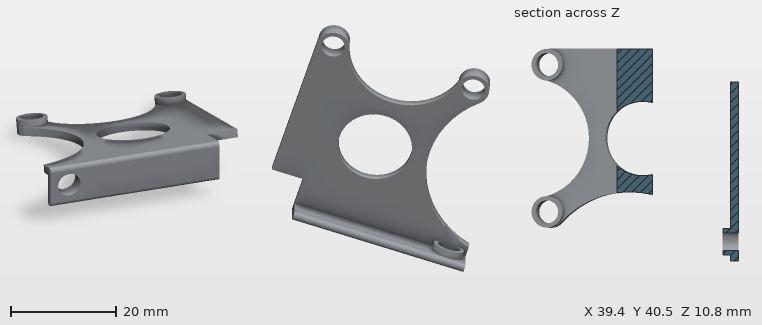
import cadquery as cq
import math

OVERALL_X = 39.37
OVERALL_Y = 40.48

SLOPE = 13.57
PLATE_THICKNESS = 1.6
PLATE_Y_MAX = 17.1
PLATE_Y_MIN = PLATE_Y_MAX - OVERALL_Y
NOTCH_U = 29.5
NOTCH_Y = 10.8

LUG_DIAMETER = 6.0
LUG_HEIGHT = 3.0
LUG_HOLE_DIAMETER = 4.4
LUG_RADIUS = LUG_DIAMETER / 2
LUG_PITCH = 28.0
LUG_Y = LUG_PITCH / 2

CORNER_U = 0.14
CORNER_DROP = 0.04
CORNER_Y = -LUG_Y - CORNER_DROP
CORNER_RADIUS = LUG_RADIUS

WINDOW_DIAMETER = 14.06
WINDOW_U = 18.15

END_ARC_U = -3.55
END_ARC_RADIUS = math.hypot(END_ARC_U, LUG_Y) - LUG_RADIUS
SIDE_ARC_U = 15.69
SIDE_ARC_Y = -28.3
SIDE_ARC_RADIUS = math.hypot(SIDE_ARC_U - CORNER_U, SIDE_ARC_Y - CORNER_Y) - CORNER_RADIUS

FLANGE_THICKNESS = 1.6
FLANGE_HEIGHT = 8.0
FLANGE_ROUND = FLANGE_THICKNESS / 2

BOSS_DIAMETER = 6.0
BOSS_HOLE_DIAMETER = 4.5
BOSS_REACH = 3.0
BOSS_Y = -19.62
BOSS_DROP = 3.79

SIN = math.sin(math.radians(SLOPE))
COS = math.cos(math.radians(SLOPE))
TAN = SIN / COS

LUG_X_MIN = -LUG_RADIUS * COS - LUG_HEIGHT * SIN
FLANGE_X = LUG_X_MIN + OVERALL_X
FLANGE_INNER_X = FLANGE_X - FLANGE_THICKNESS


def plate_top_z(x):
    """Height of the plate's upper surface at a given x."""
    return x * TAN + PLATE_THICKNESS / COS


ROUND_X = FLANGE_X - FLANGE_ROUND
ROUND_Z = plate_top_z(ROUND_X) - FLANGE_ROUND / COS
FLANGE_TOP_Z = ROUND_Z + FLANGE_ROUND
FLANGE_BOTTOM_Z = FLANGE_TOP_Z - FLANGE_HEIGHT
BOSS_Z = FLANGE_TOP_Z - BOSS_DROP

PLATE_END_U = ROUND_X * COS + ROUND_Z * SIN


def toward(start, end, distance):
    """Point at a given distance from start on the line to end."""
    scale = distance / math.dist(start, end)
    return (
        start[0] + (end[0] - start[0]) * scale,
        start[1] + (end[1] - start[1]) * scale,
    )


def tilt(body):
    """Turn a body from the plate's own frame into its sloping position."""
    return body.rotate((0, 0, 0), (0, 1, 0), -SLOPE)


def make_plate():
    upper_lug = (0, LUG_Y)
    lower_lug = (0, -LUG_Y)
    corner = (CORNER_U, CORNER_Y)
    end_center = (END_ARC_U, 0)
    side_center = (SIDE_ARC_U, SIDE_ARC_Y)
    side_arc_end_u = SIDE_ARC_U + math.sqrt(SIDE_ARC_RADIUS**2 - (PLATE_Y_MIN - SIDE_ARC_Y) ** 2)
    outline = (
        cq.Workplane("XY")
        .moveTo(0, PLATE_Y_MAX)
        .lineTo(NOTCH_U, PLATE_Y_MAX)
        .lineTo(NOTCH_U, NOTCH_Y)
        .lineTo(PLATE_END_U, NOTCH_Y)
        .lineTo(PLATE_END_U, PLATE_Y_MIN)
        .lineTo(side_arc_end_u, PLATE_Y_MIN)
        .threePointArc(
            (SIDE_ARC_U, SIDE_ARC_Y + SIDE_ARC_RADIUS),
            toward(side_center, corner, SIDE_ARC_RADIUS),
        )
        .lineTo(*corner)
        .lineTo(*lower_lug)
        .lineTo(*toward(end_center, lower_lug, END_ARC_RADIUS))
        .threePointArc(
            (END_ARC_U + END_ARC_RADIUS, 0),
            toward(end_center, upper_lug, END_ARC_RADIUS),
        )
        .lineTo(*upper_lug)
        .close()
    )
    window = cq.Workplane("XY").center(WINDOW_U, 0).circle(WINDOW_DIAMETER / 2).extrude(PLATE_THICKNESS)
    rounded_corner = cq.Workplane("XY").center(*corner).circle(CORNER_RADIUS).extrude(PLATE_THICKNESS)
    return outline.extrude(PLATE_THICKNESS).union(rounded_corner).cut(window)


def lug_cylinders(diameter):
    return (
        cq.Workplane("XY")
        .pushPoints([(0, LUG_Y), (0, -LUG_Y)])
        .circle(diameter / 2)
        .extrude(LUG_HEIGHT)
    )


def make_flange():
    diagonal = math.radians((90 + SLOPE) / 2)
    round_middle = (
        ROUND_X + FLANGE_ROUND * math.cos(diagonal),
        ROUND_Z + FLANGE_ROUND * math.sin(diagonal),
    )
    tip_z = FLANGE_BOTTOM_Z + FLANGE_ROUND
    return (
        cq.Workplane("XZ", origin=(0, NOTCH_Y, 0))
        .moveTo(FLANGE_INNER_X, plate_top_z(FLANGE_INNER_X))
        .lineTo(ROUND_X - FLANGE_ROUND * SIN, ROUND_Z + FLANGE_ROUND * COS)
        .threePointArc(round_middle, (FLANGE_X, ROUND_Z))
        .lineTo(FLANGE_X, tip_z)
        .threePointArc((ROUND_X, FLANGE_BOTTOM_Z), (FLANGE_INNER_X, tip_z))
        .close()
        .extrude(NOTCH_Y - PLATE_Y_MIN)
    )


def boss_cylinder(diameter, length):
    """Cylinder on the boss axis, reaching inward from the flange's outer face."""
    return (
        cq.Workplane("YZ", origin=(FLANGE_X, BOSS_Y, BOSS_Z))
        .circle(diameter / 2)
        .extrude(-length)
    )


sloping_part = tilt(make_plate().union(lug_cylinders(LUG_DIAMETER)).cut(lug_cylinders(LUG_HOLE_DIAMETER)))
body = sloping_part.union(make_flange()).union(boss_cylinder(BOSS_DIAMETER, BOSS_REACH))

result = body.cut(boss_cylinder(BOSS_HOLE_DIAMETER, OVERALL_X))